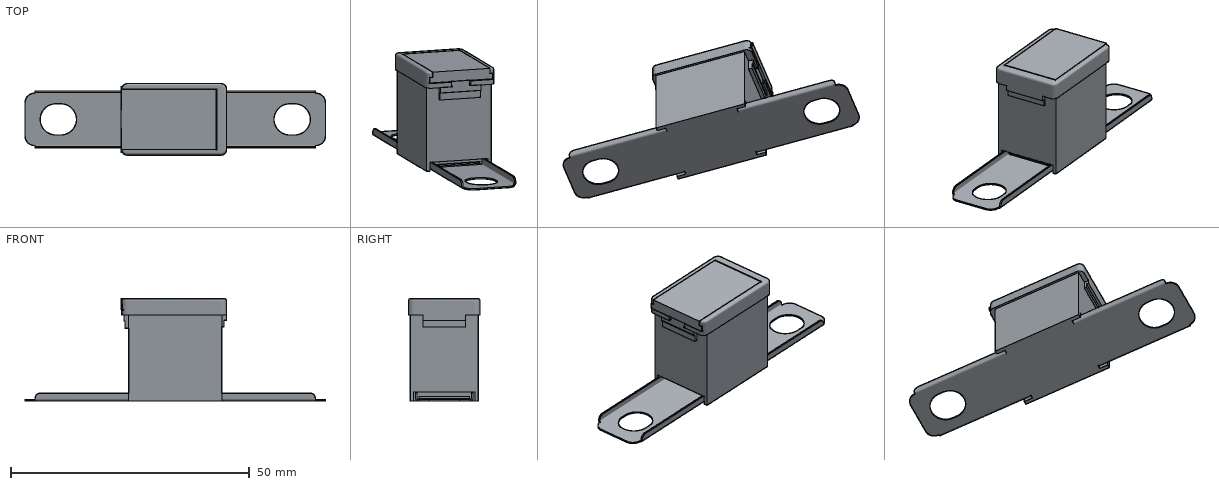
import cadquery as cq

strip_length = 63.0
strip_width = 12.0
strip_height = 1.7
sheet = 0.3
bend_inner_radius = 0.16
bend_outer_radius = bend_inner_radius + sheet
tab_width = strip_width - 2 * bend_outer_radius
tab_corner_radius = 2.0
flange_length = 58.85
flange_corner_radius = 1.2
slot_length = 7.55
slot_width = 6.5
slot_offset = 24.5

total_height = 21.5
body_length = 19.6
body_width = 14.3
recess_width = 12.8
recess_height = 1.9
recess_depth = 1.9
passage_width = 10.6
passage_bottom = 0.55
passage_top = 0.95
passage_depth = 3.15

cap_width = 15.05
cap_left = -11.2
cap_right = 10.8
cap_bottom = 18.0
cap_corner_radius = 1.2
cap_edge_radius = 0.5
notch_width = 3.9
notch_gap = 0.2
notch_gap_depth = 1.25

panel_start = -11.35
panel_end = 8.55
panel_bottom = 19.2
panel_flange_top = 20.35
panel_width = 12.6
panel_flange_width = 13.85
side_clearance = 0.05
panel_clearance = 0.2

catch_width = 8.95
left_catch_steps = [(-10.8, 16.75), (-10.6, 15.25)]
right_catch_steps = [(cap_right, 16.95), (10.3, 15.55)]


def block(x_start, x_end, width, z_start, z_end):
    """Box centred on Y, given by its X and Z limits."""
    return cq.Workplane("XY").box(
        x_end - x_start, width, z_end - z_start, centered=(False, True, False)
    ).translate((x_start, 0, z_start))


def make_strip():
    """Bent sheet strip with raised flanges and a slot near each end."""
    half_flange = flange_length / 2
    channel = block(-half_flange, half_flange, strip_width, 0, strip_height)
    channel = channel.edges("|X and <Z").fillet(bend_outer_radius)
    trough = block(-half_flange, half_flange, strip_width - 2 * sheet, sheet, 2 * strip_height)
    channel = channel.cut(trough.edges("|X and <Z").fillet(bend_inner_radius))
    channel = channel.edges("|Y and >Z").fillet(flange_corner_radius)

    tabs = block(-strip_length / 2, strip_length / 2, tab_width, 0, sheet)
    tabs = tabs.edges("|Z").fillet(tab_corner_radius)
    slots = (
        cq.Workplane("XY")
        .pushPoints([(-slot_offset, 0), (slot_offset, 0)])
        .slot2D(slot_length, slot_width)
        .extrude(sheet)
    )
    return channel.union(tabs).cut(slots)


def make_body():
    """Plain block with a stepped opening at each end where the strip passes through."""
    half_length = body_length / 2
    body = block(-half_length, half_length, body_width, 0, cap_bottom)
    recess = block(-half_length, -half_length + recess_depth, recess_width, 0, recess_height)
    passage = block(-half_length, -half_length + passage_depth, passage_width, passage_bottom, passage_top)
    opening = recess.union(passage)
    return body.cut(opening).cut(opening.mirror("YZ"))


def make_catch(steps):
    """Stepped ledge under the cap; each step is a block reaching out from the body centre."""
    catch = None
    for reach, lower_edge in steps:
        step = block(min(0, reach), max(0, reach), catch_width, lower_edge, cap_bottom)
        catch = step if catch is None else catch.union(step)
    return catch


def make_cap():
    """Rounded cap with the panel channel and a notch in its lip at the open end."""
    cap = block(cap_left, cap_right, cap_width, cap_bottom, total_height)
    cap = cap.edges("|Z").fillet(cap_corner_radius)
    cap = cap.faces(">Z").edges().fillet(cap_edge_radius)

    channel_end = panel_end + panel_clearance
    channel_floor = panel_bottom - panel_clearance
    channel = block(cap_left, channel_end, panel_flange_width, channel_floor, panel_flange_top)
    mouth = block(cap_left, channel_end, panel_width + 2 * side_clearance, panel_flange_top, total_height)
    catch_face = left_catch_steps[0][0]
    notch = block(cap_left, catch_face, notch_width, cap_bottom, panel_bottom)
    gap = block(
        cap_left,
        cap_left + notch_gap_depth,
        notch_width + 2 * notch_gap,
        cap_bottom + notch_gap,
        panel_bottom,
    )
    tongue = block(catch_face, cap_left + notch_gap_depth, notch_width, cap_bottom, panel_bottom)
    return cap.cut(channel).cut(mouth).cut(notch).cut(gap).union(tongue)


def make_panel():
    """Label panel with a T-shaped cross-section, filling the channel except for its gaps."""
    flanges = block(panel_start, panel_end, panel_flange_width, panel_bottom, panel_flange_top)
    face = block(panel_start, panel_end, panel_width, panel_flange_top, total_height)
    return flanges.union(face)


result = (
    make_body()
    .union(make_catch(left_catch_steps))
    .union(make_catch(right_catch_steps))
    .union(make_cap())
    .union(make_panel())
    .union(make_strip())
)